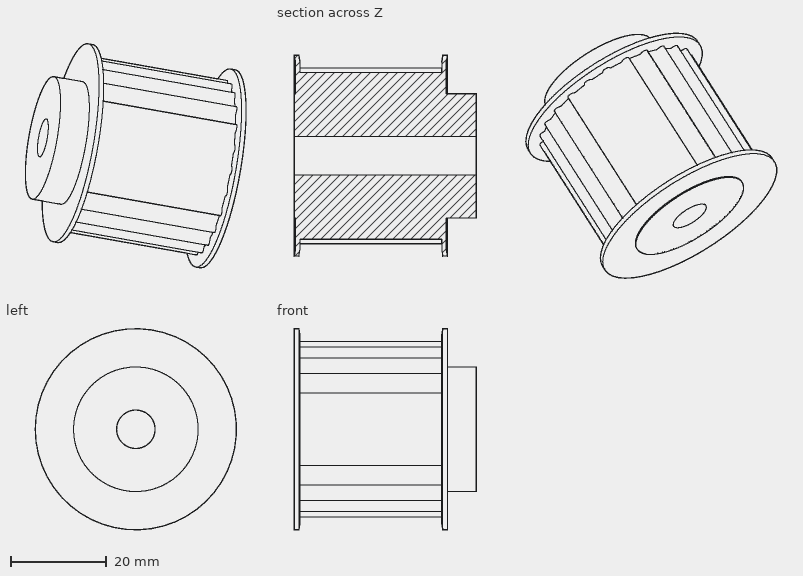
import cadquery as cq
import math

flange_diameter = 42.0
overall_length = 38.0
flanged_length = 32.0
hub_diameter = 26.0
bore_diameter = 8.0

flange_thickness = 1.0
rim_offset = 0.25
flat_diameter = 39.05

tooth_count = 24
tip_height = 18.5
root_height = 17.4
tip_half_width = 0.105
tip_radius = 0.67
root_radius = 0.38
flank_angle = 20.0

flange_radius = flange_diameter / 2
flat_radius = flat_diameter / 2
hub_radius = hub_diameter / 2
bore_radius = bore_diameter / 2
belt_start = rim_offset + flange_thickness
belt_width = flanged_length - 2 * belt_start


def tooth_outline():
    """Outline in (Y, Z) with a groove centred on each axis."""
    turn = math.radians(90 - flank_angle)
    half_turn = turn / 2
    pitch = 2 * math.pi / tooth_count

    def below_tip(angle):
        """Point on the tip round after turning by an angle from the flat land."""
        return (
            tip_half_width + tip_radius * math.sin(angle),
            tip_height - tip_radius * (1 - math.cos(angle)),
        )

    flank_top = below_tip(turn)
    flank_bottom_height = root_height + root_radius * (1 - math.cos(turn))
    flank_run = (flank_top[1] - flank_bottom_height) / math.tan(turn)
    root_half_width = flank_top[0] + flank_run + root_radius * math.sin(turn)

    def above_root(angle):
        """Point on the root fillet after turning by an angle from the groove floor."""
        return (
            root_half_width - root_radius * math.sin(angle),
            root_height + root_radius * (1 - math.cos(angle)),
        )

    def place(point, tooth, side):
        """Move a point of the upright tooth to its angle; side -1 is the leading half."""
        angle = (tooth + 0.5) * pitch
        across = side * point[0]
        up = point[1]
        return (
            across * math.cos(angle) + up * math.sin(angle),
            up * math.cos(angle) - across * math.sin(angle),
        )

    floor_radius = math.hypot(root_half_width, root_height)
    belt_plane = cq.Workplane("YZ", origin=(belt_start, 0, 0))
    outline = belt_plane.moveTo(*place(above_root(0), 0, -1))
    for tooth in range(tooth_count):
        groove_angle = (tooth + 1) * pitch
        floor_middle = (floor_radius * math.sin(groove_angle), floor_radius * math.cos(groove_angle))
        outline = (
            outline
            .threePointArc(place(above_root(half_turn), tooth, -1), place(above_root(turn), tooth, -1))
            .lineTo(*place(flank_top, tooth, -1))
            .threePointArc(place(below_tip(half_turn), tooth, -1), place(below_tip(0), tooth, -1))
            .lineTo(*place(below_tip(0), tooth, 1))
            .threePointArc(place(below_tip(half_turn), tooth, 1), place(flank_top, tooth, 1))
            .lineTo(*place(above_root(turn), tooth, 1))
            .threePointArc(place(above_root(half_turn), tooth, 1), place(above_root(0), tooth, 1))
            .threePointArc(floor_middle, place(above_root(0), tooth + 1, -1))
        )
    return outline.close()


def full_length_cylinder(radius):
    return cq.Workplane("YZ").circle(radius).extrude(overall_length)


def flange():
    """Start-side flange, revolved about X with its rim bent toward X = 0."""
    return (
        cq.Workplane("XY")
        .moveTo(rim_offset, 0)
        .lineTo(rim_offset, flat_radius)
        .lineTo(0, flange_radius)
        .lineTo(flange_thickness, flange_radius)
        .lineTo(belt_start, flat_radius)
        .lineTo(belt_start, 0)
        .close()
        .revolve(360, (0, 0, 0), (1, 0, 0))
    )


start_flange = flange()
end_flange = start_flange.mirror("YZ").translate((flanged_length, 0, 0))
hub = full_length_cylinder(hub_radius)
bore = full_length_cylinder(bore_radius)

result = (
    tooth_outline()
    .extrude(belt_width)
    .union(start_flange)
    .union(end_flange)
    .union(hub)
    .cut(bore)
)